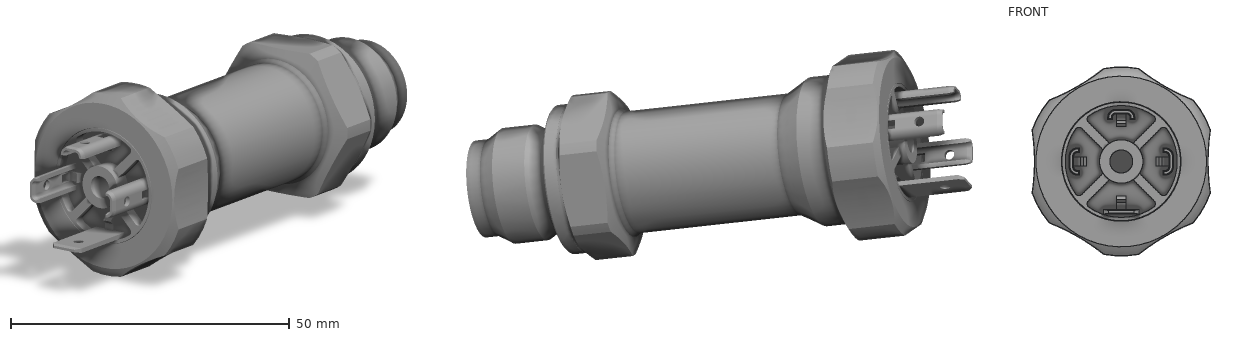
import cadquery as cq
import math


tube_d = 22.0
shoulder_d = 27.0
thread_d = 20.9
pilot_d = 17.5
neck_d = 18.1
neck_flare_d = 20.0
collar_edge = 0.3

y_rear = 79.9
y_pilot = 77.3
y_thread_rear = 74.45
y_thread_front = 68.4
y_neck_rear = 65.9
y_neck_front = 65.1
y_collar_rear = 64.0
y_hex_rear = 61.4
y_hex_front = 53.3
y_hex_bevel_end = 52.1
y_tube_rear = 51.2
y_tube_front = 20.6
y_shoulder = 16.2

hex_flats = 27.0
hex_corner_d = 30.0
relief_d = 26.9
relief_length = 0.5
hex_rear_end = 1.1
hex_front_bevel_d = 23.1

nut_length = 10.6
nut_d = 34.0
nut_face_d = 30.7
nut_bevel_angle = 30.0
nut_width = 32.0
nut_waist = 31.2

bore_d = 21.5
insert_d = 21.3
gap_depth = 0.9
pocket_d = 20.1
pocket_depth = 2.0
pocket_corner = 0.7
rib_width = 1.65
boss_d = 7.8
boss_height = 1.1
boss_hole_d = 4.1
boss_hole_depth = 7.3

tab_outer = 9.4
blade_outer = 9.5
terminal_thickness = 0.8
terminal_hole_d = 1.8
tab_width = 4.9
tab_reach = 1.8
tab_bend = 1.5
tab_length = 9.9
tab_hole_y = -5.7
tip_length = 0.9
tip_bevel = 0.2
window_width = 1.65
blade_width = 6.3
blade_length = 11.9
blade_hole_y = -7.6
blade_corner = 0.9
tongue_inner = 6.2
tongue_crest = 6.8
tongue_outer = 8.7
tongue_thickness = 0.5
tongue_rise = 0.55


def cylinder(diameter, y_start, y_end):
    """Solid cylinder about the Y axis."""
    return cq.Workplane("XZ", origin=(0, y_end, 0)).circle(diameter / 2).extrude(y_end - y_start)


def revolve_profile(points):
    """Solid of revolution about Y from (radius, y) points."""
    return cq.Workplane("XY").polyline(points).close().revolve(360, (0, 0, 0), (0, 1, 0))


def make_body():
    return revolve_profile([
        (0, y_rear),
        (pilot_d / 2, y_rear),
        (pilot_d / 2, y_pilot),
        (thread_d / 2, y_thread_rear),
        (thread_d / 2, y_thread_front),
        (neck_d / 2, y_neck_rear),
        (neck_d / 2, y_neck_front),
        (neck_flare_d / 2, y_collar_rear),
        (shoulder_d / 2 - collar_edge, y_collar_rear),
        (shoulder_d / 2, y_collar_rear - collar_edge),
        (shoulder_d / 2, y_hex_rear),
        (tube_d / 2, y_hex_rear),
        (tube_d / 2, y_tube_front),
        (shoulder_d / 2, y_shoulder),
        (shoulder_d / 2, 0),
        (0, 0),
    ])


def make_hexagon():
    corner_r = hex_corner_d / 2
    blank = revolve_profile([
        (0, y_hex_rear),
        (relief_d / 2, y_hex_rear),
        (relief_d / 2, y_hex_rear - relief_length),
        (corner_r, y_hex_rear - hex_rear_end),
        (corner_r, y_hex_front),
        (hex_front_bevel_d / 2, y_hex_bevel_end),
        (tube_d / 2, y_tube_rear),
        (0, y_tube_rear),
    ])
    hexagon = (
        cq.Workplane("XZ", origin=(0, y_hex_rear, 0))
        .polygon(6, hex_flats / math.cos(math.pi / 6))
        .extrude(y_hex_rear - y_tube_rear)
    )
    return blank.intersect(hexagon)


def make_nut():
    r = nut_d / 2
    bevel = (nut_d - nut_face_d) / 2 * math.tan(math.radians(nut_bevel_angle))
    blank = revolve_profile([
        (0, 0),
        (nut_face_d / 2, 0),
        (r, bevel),
        (r, nut_length - bevel),
        (nut_face_d / 2, nut_length),
        (0, nut_length),
    ])
    side_angle = math.acos(nut_width / nut_d)
    side_x = nut_width / 2
    side_z = r * math.sin(side_angle)
    for i in range(6):
        side = (
            cq.Workplane("XZ", origin=(0, nut_length, 0))
            .moveTo(side_x, -side_z)
            .threePointArc((nut_waist / 2, 0), (side_x, side_z))
            .lineTo(nut_d, side_z)
            .lineTo(nut_d, -side_z)
            .close()
            .extrude(nut_length)
        )
        blank = blank.cut(side.rotate((0, 0, 0), (0, 1, 0), 60 * i))
    return blank


def make_pocket():
    """Quarter pocket on the +Z side, between two diagonal ribs."""
    apex = rib_width / math.sqrt(2)
    wedge = (
        cq.Workplane("XZ", origin=(0, pocket_depth, 0))
        .polyline([(0, apex), (pocket_d, apex + pocket_d), (-pocket_d, apex + pocket_d)])
        .close()
        .extrude(pocket_depth)
    )
    ring = cylinder(pocket_d, 0, pocket_depth).cut(cylinder(boss_d, 0, pocket_depth))
    return ring.intersect(wedge).edges("|Y").edges(">X or <X").fillet(pocket_corner)


def cut_insert(part):
    part = part.cut(cylinder(bore_d, 0, gap_depth).cut(cylinder(insert_d, 0, gap_depth)))
    pocket = make_pocket()
    for i in range(4):
        part = part.cut(pocket.rotate((0, 0, 0), (0, 1, 0), 90 * i))
    return part


def make_boss():
    return cylinder(boss_d, -boss_height, pocket_depth)


def make_tongue():
    """Bent spring strip on the pocket floor, inside the +Z terminal."""
    floor = pocket_depth
    low = pocket_depth - tongue_thickness
    fold_end = 2 * tongue_crest - tongue_inner
    return (
        cq.Workplane("YZ", origin=(-window_width / 2, 0, 0))
        .polyline([
            (floor, tongue_inner),
            (low, tongue_inner),
            (low - tongue_rise, tongue_crest),
            (low, fold_end),
            (low, tongue_outer),
            (floor, tongue_outer),
        ])
        .close()
        .extrude(window_width)
    )


def make_terminal_hole(y):
    """Radial pin that pierces a terminal on the +Z side."""
    return cq.Workplane("XY", origin=(0, y, 0)).circle(terminal_hole_d / 2).extrude(2 * blade_outer)


def make_tab():
    """Channel-shaped contact on the +Z side, open toward the axis."""
    foot = tab_outer - tab_reach
    flare = math.degrees(math.atan(tip_bevel / tip_length))
    y_tip = tip_length - tab_length

    def rounded_bar(inset, y_start, length, taper):
        """Bar with two rounded outer corners, shrunk by the inset on three sides."""
        half = tab_width / 2 - inset
        crown = tab_outer - inset
        bend = tab_bend - inset
        return (
            cq.Workplane("XZ", origin=(0, y_start, 0))
            .moveTo(-half, foot)
            .lineTo(-half, crown - bend)
            .radiusArc((-half + bend, crown), bend)
            .lineTo(half - bend, crown)
            .radiusArc((half, crown - bend), bend)
            .lineTo(half, foot)
            .close()
            .extrude(length, taper=taper)
        )

    def rounded_shell(y_start, length, taper):
        """Channel whose wall thins toward -Y by the taper angle on each side."""
        outside = rounded_bar(0, y_start, length, taper)
        return outside.cut(rounded_bar(terminal_thickness, y_start, length, -taper))

    channel = rounded_shell(pocket_depth, pocket_depth - y_tip, 0)
    channel = channel.union(rounded_shell(y_tip, tip_length, flare))
    window = cq.Workplane("XY").box(window_width, 2 * boss_height, 2 * terminal_thickness)
    channel = channel.cut(window.translate((0, 0, tab_outer)))
    return channel.cut(make_terminal_hole(tab_hole_y)).union(make_tongue())


def make_blade():
    """Flat earth contact, built on the +Z side."""
    length = pocket_depth + blade_length
    blade = (
        cq.Workplane("XY")
        .box(blade_width, length, terminal_thickness)
        .translate((0, pocket_depth - length / 2, blade_outer - terminal_thickness / 2))
        .edges("<Y and |Z").chamfer(blade_corner)
    )
    blade = blade.faces("<Y").edges("|X").chamfer(tip_length, tip_bevel)
    return blade.cut(make_terminal_hole(blade_hole_y)).union(make_tongue())


result = make_body().union(make_hexagon()).union(make_nut())
result = cut_insert(result).union(make_boss())
tab = make_tab()
for angle in (-90, 0, 90):
    result = result.union(tab.rotate((0, 0, 0), (0, 1, 0), angle))
result = result.union(make_blade().rotate((0, 0, 0), (0, 1, 0), 180))
result = result.cut(cylinder(boss_hole_d, -boss_height, boss_hole_depth))